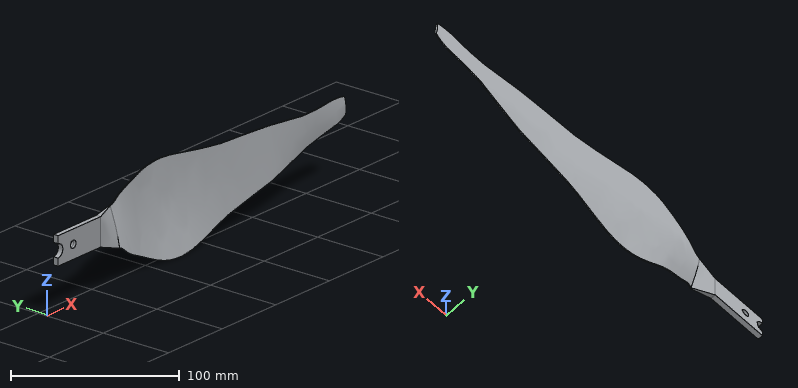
import cadquery as cq

SPAN = 279.5

SHANK_LENGTH = 39.7
SHANK_WIDTH = 19.5
SHANK_THICKNESS = 3.5
NOTCH_RADIUS = 4.5
PIN_HOLE_DIAMETER = 5.0
PIN_HOLE_X = 14.2

ROOT_X = 55.3
EDGE_THICKNESS = 0.8
MIDDLE_THICKNESS = 2.2

BLADE_SECTIONS = [
    (ROOT_X, 4.5, 10.5, -3.5, -14.8, 0.0),
    (64.3, 7.0, 12.3, -0.8, -19.8, 0.5),
    (75.0, 10.0, 14.2, 0.8, -26.3, 1.5),
    (88.3, 12.5, 17.0, 0.5, -32.5, 2.2),
    (101.7, 13.7, 20.0, -1.7, -37.2, 2.8),
    (111.8, 13.7, 21.0, -2.5, -38.3, 3.0),
    (128.8, 12.9, 19.5, -2.0, -36.3, 2.8),
    (149.0, 11.2, 16.8, 0.3, -31.3, 2.0),
    (182.7, 10.0, 14.2, 2.2, -23.7, 1.0),
    (229.0, 9.2, 11.0, 5.5, -13.7, 0.3),
    (257.0, 9.0, 10.5, 6.7, -7.0, 0.0),
    (SPAN, 9.0, 10.5, 7.3, -0.8, 0.0),
]


def section_wire(x, upper_y, upper_z, lower_y, lower_z, camber, edge, middle):
    """Closed section at x, with two blunt edges joined by curved back and front sides."""
    back_upper = cq.Vector(x, upper_y, upper_z)
    front_upper = cq.Vector(x, upper_y - edge, upper_z)
    back_lower = cq.Vector(x, lower_y + edge, lower_z)
    front_lower = cq.Vector(x, lower_y, lower_z)
    control_y = (upper_y + lower_y) / 2 + 2 * camber
    control_bulge = middle - edge / 2
    control_z = (upper_z + lower_z) / 2
    back_control = cq.Vector(x, control_y + control_bulge, control_z)
    front_control = cq.Vector(x, control_y - control_bulge, control_z)
    return cq.Wire.assembleEdges([
        cq.Edge.makeLine(back_upper, front_upper),
        cq.Edge.makeBezier([front_upper, front_control, front_lower]),
        cq.Edge.makeLine(front_lower, back_lower),
        cq.Edge.makeBezier([back_lower, back_control, back_upper]),
    ])


def blade_wire(section):
    return section_wire(*section, EDGE_THICKNESS, MIDDLE_THICKNESS)


def make_shank():
    plate = cq.Workplane("XY").box(
        SHANK_LENGTH, SHANK_THICKNESS, SHANK_WIDTH, centered=(False, True, True)
    )
    notch = (
        cq.Workplane("XZ").circle(NOTCH_RADIUS).extrude(SHANK_THICKNESS, both=True)
    )
    pin_hole = (
        cq.Workplane("XZ")
        .center(PIN_HOLE_X, 0)
        .circle(PIN_HOLE_DIAMETER / 2)
        .extrude(SHANK_THICKNESS, both=True)
    )
    return plate.cut(notch).cut(pin_hole)


def make_neck():
    """Straight-sided transition from the rectangular shank to the blade root."""
    half_thickness = SHANK_THICKNESS / 2
    half_width = SHANK_WIDTH / 2
    shank_end = section_wire(
        SHANK_LENGTH, half_thickness, half_width, -half_thickness, -half_width,
        0, SHANK_THICKNESS, SHANK_THICKNESS,
    )
    return cq.occ_impl.shapes.loft(
        shank_end, blade_wire(BLADE_SECTIONS[0]), cap=True, ruled=True, compat=False
    )


def make_blade():
    """Smooth loft that joins matching corners of neighbouring sections."""
    wires = [blade_wire(section) for section in BLADE_SECTIONS]
    return cq.occ_impl.shapes.loft(
        *wires, cap=True, parametrization="chordal", degree=3, compat=False
    )


result = make_shank().union(cq.Workplane(make_neck())).union(cq.Workplane(make_blade()))